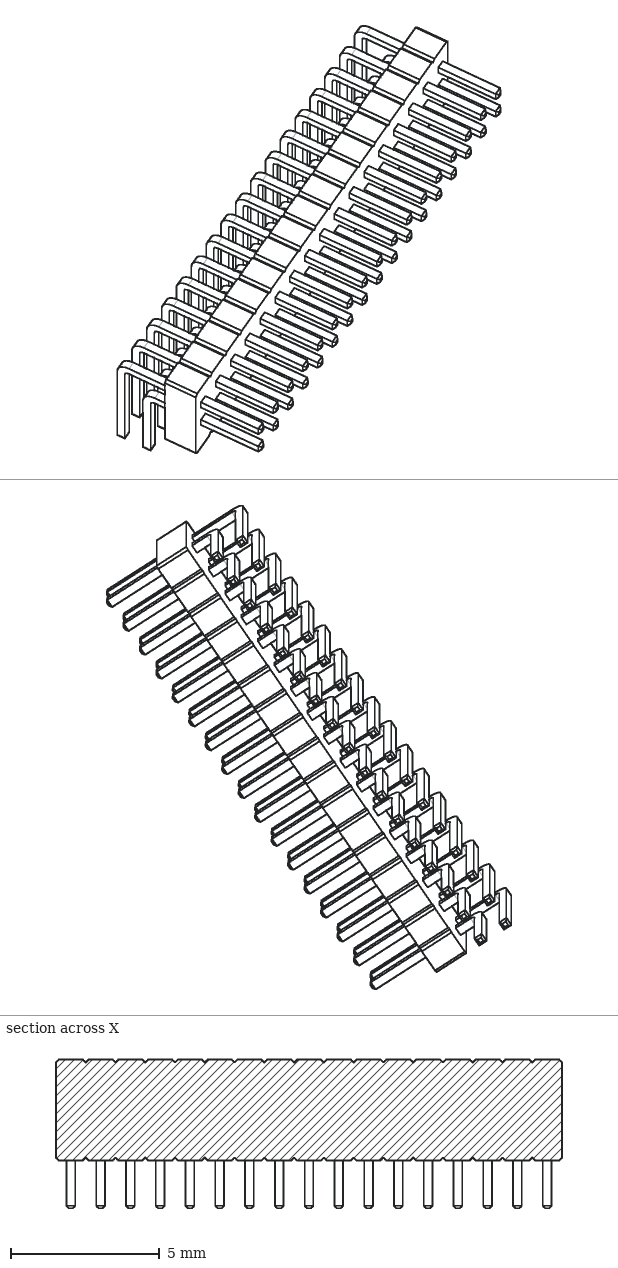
import cadquery as cq


PITCH = 1.0
PINS_PER_ROW = 17
LOWER_ROW_HEIGHT = 3.05
ROWS = 2

PIN_WIDTH = 0.3
BEND_INNER_RADIUS = 0.15
BEND_OUTER_RADIUS = BEND_INNER_RADIUS + PIN_WIDTH
TIP_BEVEL = 0.08

BODY_THICKNESS = 1.2
BODY_HEIGHT = 3.4
BODY_BOTTOM = 1.6
BODY_LEFT = 1.9
NOTCH_DEPTH = 0.1
BODY_LENGTH = PINS_PER_ROW * PITCH

CONTACT_LENGTH = 2.3
CONTACT_END = BODY_LEFT + BODY_THICKNESS + CONTACT_LENGTH


def body_segment(y_center):
    """One pitch of the body, bevelled along its four X-direction edges."""
    return (
        cq.Workplane("XY")
        .box(BODY_THICKNESS, PITCH, BODY_HEIGHT, centered=(False, True, False))
        .edges("|X")
        .chamfer(NOTCH_DEPTH)
        .translate((BODY_LEFT, y_center, BODY_BOTTOM))
    )


def pin(leg_x, row_height, y_center):
    """Square bent pin: a leg pointing down and a contact pointing along +X."""
    half = PIN_WIDTH / 2
    tip_width = PIN_WIDTH - 2 * TIP_BEVEL
    bend_x = leg_x - half + BEND_OUTER_RADIUS
    bend_z = row_height + half - BEND_OUTER_RADIUS
    contact_shoulder = CONTACT_END - TIP_BEVEL

    leg = (
        cq.Workplane("XY", origin=(leg_x, y_center, 0))
        .rect(tip_width, tip_width)
        .workplane(offset=TIP_BEVEL)
        .rect(PIN_WIDTH, PIN_WIDTH)
        .loft(ruled=True)
        .faces(">Z")
        .workplane()
        .rect(PIN_WIDTH, PIN_WIDTH)
        .extrude(bend_z - TIP_BEVEL)
    )
    bend = (
        cq.Workplane("XY", origin=(leg_x, y_center, bend_z))
        .rect(PIN_WIDTH, PIN_WIDTH)
        .revolve(90, (bend_x - leg_x, 0), (bend_x - leg_x, 1))
    )
    contact = (
        cq.Workplane("YZ", origin=(bend_x, y_center, row_height))
        .rect(PIN_WIDTH, PIN_WIDTH)
        .extrude(contact_shoulder - bend_x)
        .faces(">X")
        .workplane()
        .rect(PIN_WIDTH, PIN_WIDTH)
        .workplane(offset=TIP_BEVEL)
        .rect(tip_width, tip_width)
        .loft(ruled=True)
    )
    return leg.union(bend).union(contact)


def header():
    """Body segments and both rows of pins, joined into one solid."""
    parts = []
    for column in range(PINS_PER_ROW):
        y_center = (column + 0.5) * PITCH - BODY_LENGTH / 2
        parts.append(body_segment(y_center))
        for row in range(ROWS):
            leg_x = (ROWS - 1 - row) * PITCH
            row_height = LOWER_ROW_HEIGHT + row * PITCH
            parts.append(pin(leg_x, row_height, y_center))
    solids = [part.val() for part in parts]
    return cq.Workplane(obj=solids[0].fuse(*solids[1:]).clean())


result = header()